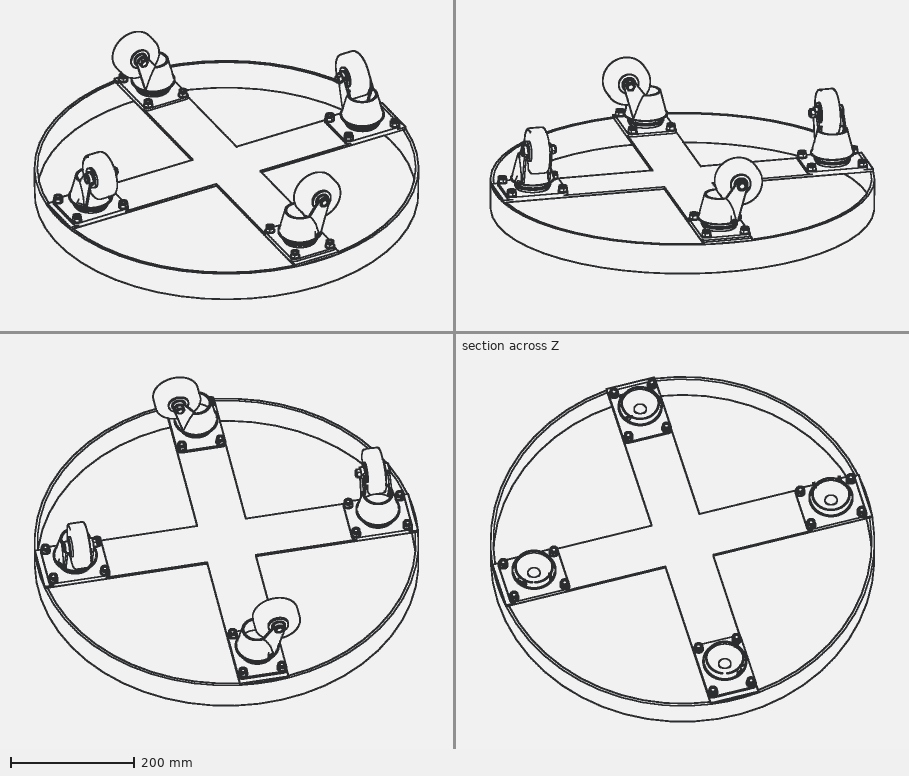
import cadquery as cq
import math

OVERALL_HEIGHT = 169.0

RING_DIA = 622.0
RING_BORE = 613.0
RING_HEIGHT = 50.0
BAR_WIDTH = 80.0
BAR_THICK = 4.05
BAR_LENGTH = math.sqrt(RING_DIA**2 - BAR_WIDTH**2)
BAR_TOP = RING_HEIGHT + BAR_THICK

CASTER_COUNT = 4
CASTER_RADIUS = 250.0
PLATE_LENGTH = 100.0
PLATE_THICK = 4.05
PLATE_CORNER = 7.0
PLATE_TOP = BAR_TOP + PLATE_THICK
BOLT_PITCH_LONG = 85.0
BOLT_PITCH_SHORT = 64.0
WASHER_DIA = 15.0
WASHER_THICK = 1.0
NUT_FLATS = 12.5
NUT_CORNERS = NUT_FLATS / math.cos(math.pi / 6)
NUT_HEIGHT = 5.5
CAP_DIA = NUT_FLATS
CAP_THICK = 2.5
STUD_DIA = 7.5
STUD_RECESS = 1.0

RACE_RADIUS = 29.0
RACE_FOOT_RADIUS = 27.0
RACE_BOTTOM = 63.0
RACE_TOP = 66.5
RACE_GAP = 1.0
RACE_GAP_DEPTH = 2.0
LIP_INNER_RADIUS = 33.0
LIP_RADIUS = 35.5
LIP_BOTTOM = 73.0
LIP_THICK = 0.5
CONE_BASE_RADIUS = 34.0
CONE_TOP_RADIUS = 24.0
CONE_BOTTOM = LIP_BOTTOM + LIP_THICK
CONE_TOP = 112.5
CONE_WALL = 2.5
FLOOR_HEIGHT = CONE_BOTTOM + CONE_WALL
WELL_RADIUS = 10.0
WELL_ROUND = 11.0
FLAT_AZIMUTH = 38
FLAT_TILT = 9
FLAT_DEPTH = 2.0

WHEEL_DIA = 74.5
WHEEL_WIDTH = 26.0
WHEEL_ROUND = 3.0
AXLE_OFFSET = 32.0
AXLE_HEIGHT = OVERALL_HEIGHT - WHEEL_DIA / 2
FORK_SHIFT = -0.5
HUB_DIA = 33.0
HUB_WIDTH = 32.0
COLLAR_DIA = 22.5
COLLAR_WIDTH = 34.0
SPACER_DIA = 19.0
LEG_GAP = 40.0
LEG_THICK = 3.0
LEG_LEFT = FORK_SHIFT - LEG_GAP / 2
LEG_RIGHT = FORK_SHIFT + LEG_GAP / 2
LEG_END_RADIUS = SPACER_DIA / 2
LEG_FOOT_FRONT = 25.5
LEG_FOOT_REAR = 24.0
LEG_SHOULDER = 5.5
AXLE_HEAD_DIA = 15.0
AXLE_HEAD_THICK = 1.0
AXLE_NUT_HEIGHT = 6.0
AXLE_DIA = 10.0
AXLE_START = -25.5
AXLE_END = 30.5


def make_hoop_and_cross():
    ring = cq.Workplane("XY").circle(RING_DIA / 2).circle(RING_BORE / 2).extrude(RING_HEIGHT)
    bars = cq.Workplane("XY").workplane(offset=RING_HEIGHT)
    bar_x = bars.rect(BAR_LENGTH, BAR_WIDTH).extrude(BAR_THICK)
    bar_y = bars.rect(BAR_WIDTH, BAR_LENGTH).extrude(BAR_THICK)
    return ring.union(bar_x.union(bar_y))


def make_plate():
    plate = cq.Workplane("XY").workplane(offset=BAR_TOP).rect(PLATE_LENGTH, BAR_WIDTH)
    return plate.extrude(PLATE_THICK).edges("|Z").fillet(PLATE_CORNER)


def make_fastener():
    """Washer, hex nut and round cap with a recessed stud end, standing on z = 0."""
    nut_top = WASHER_THICK + NUT_HEIGHT
    cap_top = nut_top + CAP_THICK
    washer = cq.Workplane("XY").circle(WASHER_DIA / 2).extrude(WASHER_THICK)
    nut = cq.Workplane("XY").polygon(6, NUT_CORNERS).extrude(nut_top)
    nut = nut.rotate((0, 0, 0), (0, 0, 1), 90)
    cap = cq.Workplane("XY").workplane(offset=nut_top).circle(CAP_DIA / 2).extrude(CAP_THICK)
    recess = cq.Workplane("XY").workplane(offset=cap_top).circle(STUD_DIA / 2).extrude(-STUD_RECESS)
    return washer.union(nut).union(cap).cut(recess)


def make_plate_set():
    """One caster plate with its four fasteners, centred on the swivel axis."""
    plate_set = make_plate()
    fastener = make_fastener()
    for x in (-BOLT_PITCH_LONG / 2, BOLT_PITCH_LONG / 2):
        for y in (-BOLT_PITCH_SHORT / 2, BOLT_PITCH_SHORT / 2):
            plate_set = plate_set.union(fastener.translate((x, y, PLATE_TOP)))
    return plate_set


def arm_copies(part):
    """Copies of a part, centred on the swivel axis, at the end of each arm of the cross."""
    first = part.translate((-CASTER_RADIUS, 0, 0))
    return [first.rotate((0, 0, 0), (0, 0, 1), index * 360 / CASTER_COUNT) for index in range(CASTER_COUNT)]


def make_frame():
    """Hoop, cross, plates and fasteners, joined as one body."""
    frame = make_hoop_and_cross()
    for plate_set in arm_copies(make_plate_set()):
        frame = frame.union(plate_set)
    return frame.clean()


def make_swivel_head():
    """Races and open-topped cone, turned about the swivel axis."""
    gap_bottom = (RACE_BOTTOM + RACE_TOP - RACE_GAP) / 2
    gap_top = gap_bottom + RACE_GAP
    gap_radius = RACE_RADIUS - RACE_GAP_DEPTH
    mouth_radius = WELL_RADIUS + WELL_ROUND
    round_mid = WELL_ROUND * math.sqrt(0.5)
    cone_slope = (CONE_BASE_RADIUS - CONE_TOP_RADIUS) / (CONE_TOP - CONE_BOTTOM)
    floor_radius = CONE_TOP_RADIUS - CONE_WALL + cone_slope * (CONE_TOP - FLOOR_HEIGHT)
    profile = (
        cq.Workplane("XZ")
        .moveTo(0, PLATE_TOP)
        .lineTo(RACE_FOOT_RADIUS, PLATE_TOP)
        .lineTo(RACE_RADIUS, RACE_BOTTOM)
        .lineTo(RACE_RADIUS, gap_bottom)
        .lineTo(gap_radius, gap_bottom)
        .lineTo(gap_radius, gap_top)
        .lineTo(RACE_RADIUS, gap_top)
        .lineTo(RACE_RADIUS, RACE_TOP)
        .lineTo(LIP_INNER_RADIUS, LIP_BOTTOM)
        .lineTo(LIP_RADIUS, LIP_BOTTOM)
        .lineTo(LIP_RADIUS, CONE_BOTTOM)
        .lineTo(CONE_BASE_RADIUS, CONE_BOTTOM)
        .lineTo(CONE_TOP_RADIUS, CONE_TOP)
        .lineTo(CONE_TOP_RADIUS - CONE_WALL, CONE_TOP)
        .lineTo(floor_radius, FLOOR_HEIGHT)
        .lineTo(mouth_radius, FLOOR_HEIGHT)
        .threePointArc(
            (mouth_radius - round_mid, FLOOR_HEIGHT - WELL_ROUND + round_mid),
            (WELL_RADIUS, FLOOR_HEIGHT - WELL_ROUND),
        )
        .lineTo(0, FLOOR_HEIGHT - WELL_ROUND)
        .close()
    )
    return profile.revolve(360, (0, 0, 0), (0, 1, 0))


def cut_flat(head):
    """Shallow flat on the cone wall beside the -X leg, steeper than the cone."""
    wall_height = CONE_TOP - CONE_BOTTOM
    cutter = cq.Workplane("XY").box(
        CONE_BASE_RADIUS, 2 * CONE_BASE_RADIUS, wall_height, centered=(False, True, False)
    )
    cutter = cutter.translate((-FLAT_DEPTH, 0, 0)).rotate((0, 0, 0), (0, 1, 0), -FLAT_TILT)
    cutter = cutter.translate((CONE_BASE_RADIUS, 0, CONE_BOTTOM))
    cutter = cutter.rotate((0, 0, 0), (0, 0, 1), 180 + FLAT_AZIMUTH)
    beside_leg = cq.Workplane("XY").box(
        CONE_BASE_RADIUS, 2 * CONE_BASE_RADIUS, wall_height, centered=(False, True, False)
    )
    beside_leg = beside_leg.translate((LEG_LEFT - LEG_THICK - CONE_BASE_RADIUS, 0, CONE_BOTTOM))
    return head.cut(cutter.intersect(beside_leg))


def across(x_from, x_to):
    """Workplane facing +X at x_from, centred on the axle, and the extrusion length to x_to."""
    plane = cq.Workplane("YZ", origin=(x_from, -AXLE_OFFSET, AXLE_HEIGHT))
    return plane, x_to - x_from


def axle_disc(diameter, x_from, x_to):
    plane, length = across(x_from, x_to)
    return plane.circle(diameter / 2).extrude(length)


def tangent_point(point, side):
    """Where the tangent from a point (relative to the axle) touches the rounded leg end."""
    distance = math.hypot(*point)
    angle = math.atan2(point[1], point[0]) + side * math.acos(LEG_END_RADIUS / distance)
    return (LEG_END_RADIUS * math.cos(angle), LEG_END_RADIUS * math.sin(angle))


def make_leg(x_from):
    """Flat fork leg with a rounded end at the axle, tapering down to the cone base."""
    plane, length = across(x_from, x_from + LEG_THICK)
    foot_z = CONE_BOTTOM - AXLE_HEIGHT
    foot_front = (AXLE_OFFSET - LEG_FOOT_FRONT, foot_z)
    foot_rear = (AXLE_OFFSET - LEG_FOOT_REAR, foot_z)
    shoulder = (AXLE_OFFSET - LEG_SHOULDER, CONE_TOP - AXLE_HEIGHT)
    outline = (
        plane.moveTo(*foot_front)
        .lineTo(*foot_rear)
        .lineTo(*shoulder)
        .lineTo(*tangent_point(shoulder, 1))
        .threePointArc((0, LEG_END_RADIUS), tangent_point(foot_front, -1))
        .close()
    )
    return outline.extrude(length)


def make_wheel():
    """Tyre, stepped hub and axle stack between and beyond the legs."""
    tyre = axle_disc(WHEEL_DIA, -WHEEL_WIDTH / 2, WHEEL_WIDTH / 2)
    wheel = tyre.edges().fillet(WHEEL_ROUND)
    hub_steps = [(HUB_DIA, HUB_WIDTH), (COLLAR_DIA, COLLAR_WIDTH), (SPACER_DIA, LEG_GAP)]
    for diameter, width in hub_steps:
        wheel = wheel.union(axle_disc(diameter, FORK_SHIFT - width / 2, FORK_SHIFT + width / 2))
    head = axle_disc(AXLE_HEAD_DIA, LEG_LEFT - LEG_THICK - AXLE_HEAD_THICK, LEG_LEFT)
    nut_plane, nut_length = across(LEG_RIGHT, LEG_RIGHT + LEG_THICK + AXLE_NUT_HEIGHT)
    nut = nut_plane.polygon(6, NUT_CORNERS).extrude(nut_length)
    axle = axle_disc(AXLE_DIA, AXLE_START, AXLE_END)
    return wheel.union(head).union(nut).union(axle)


def make_caster():
    """Swivel head, fork and wheel of one caster, its wheel trailing toward -Y."""
    caster = cut_flat(make_swivel_head())
    for x_from in (LEG_LEFT - LEG_THICK, LEG_RIGHT):
        caster = caster.union(make_leg(x_from))
    return caster.union(make_wheel())


frame = make_frame()
casters = [caster.solids().val() for caster in arm_copies(make_caster())]

result = cq.Compound.makeCompound([frame.solids().val(), *casters])